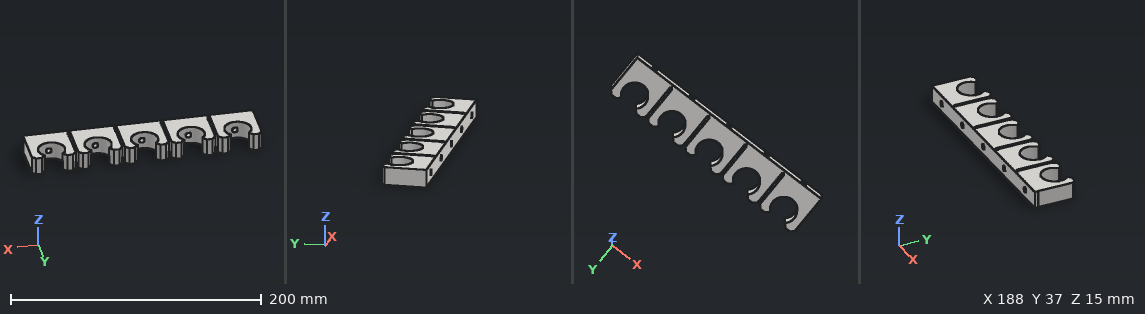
import cadquery as cq

LENGTH = 188.0
DEPTH = 37.0
HEIGHT = 15.0

CLIP_COUNT = 5
SLOT_WIDTH = 2.0
SLOT_FLOOR = 1.7
SLOT_POINT_LENGTH = 1.5
END_RELIEF = 0.2
PITCH = (LENGTH - END_RELIEF + SLOT_WIDTH) / CLIP_COUNT
CLIP_WIDTH = PITCH - SLOT_WIDTH

BORE_DIAMETER = 21.6
BORE_CENTER_Y = 26.0
MOUTH_WIDTH = 20.9
TIP_CHAMFER = 3.0

SCREW_HOLE_DIAMETER = 4.3

clip_centers = [CLIP_WIDTH / 2 + i * PITCH for i in range(CLIP_COUNT)]
slot_centers = [x + PITCH / 2 for x in clip_centers]


def vertical_prism(points):
    """Full-height solid with the given XY outline."""
    return cq.Workplane("XY").polyline(points).close().extrude(HEIGHT)


def slot(x):
    """Slot beside a clip, with a V-shaped bottom."""
    half = SLOT_WIDTH / 2
    shoulder_y = SLOT_FLOOR + SLOT_POINT_LENGTH
    return vertical_prism([
        (x - half, DEPTH),
        (x - half, shoulder_y),
        (x, SLOT_FLOOR),
        (x + half, shoulder_y),
        (x + half, DEPTH),
    ])


def bore(x):
    """Round seat that the clip closes around."""
    return cq.Workplane("XY").center(x, BORE_CENTER_Y).circle(BORE_DIAMETER / 2).extrude(HEIGHT)


def mouth(x):
    """Tapered lead-in from the back face into the bore."""
    half = MOUTH_WIDTH / 2
    return vertical_prism([(x - half, DEPTH), (x + half, DEPTH), (x, DEPTH - half)])


def tip_chamfer(x, side):
    """Corner removed from the outer edge of a clip arm; side is -1 or 1."""
    edge = x + side * CLIP_WIDTH / 2
    return vertical_prism([
        (edge, DEPTH),
        (edge - side * TIP_CHAMFER, DEPTH),
        (edge, DEPTH - TIP_CHAMFER),
    ])


def screw_hole(x):
    """Hole from the front face into the bore."""
    return (
        cq.Workplane("XZ")
        .center(x, HEIGHT / 2)
        .circle(SCREW_HOLE_DIAMETER / 2)
        .extrude(-BORE_CENTER_Y)
    )


result = cq.Workplane("XY").box(LENGTH, DEPTH, HEIGHT, centered=False)

for slot_x in slot_centers:
    result = result.cut(slot(slot_x))

for clip_x in clip_centers:
    result = result.cut(bore(clip_x)).cut(mouth(clip_x)).cut(screw_hole(clip_x))
    for arm_side in (-1, 1):
        result = result.cut(tip_chamfer(clip_x, arm_side))